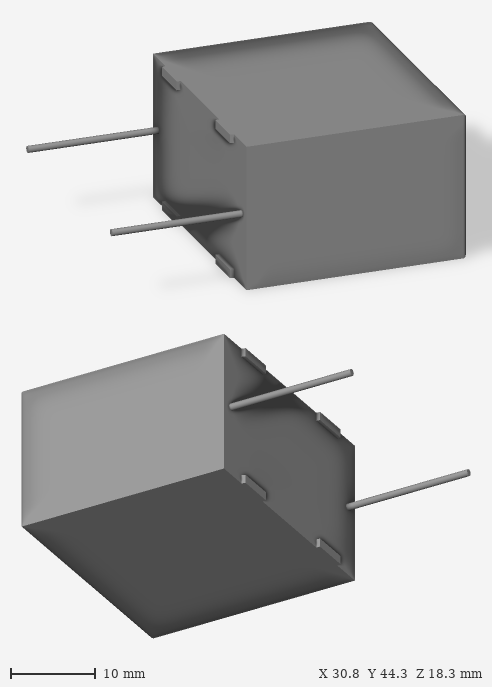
import cadquery as cq

WIDTH = 30.8
HEIGHT = 18.3
TOTAL_LENGTH = 44.3
LEAD_LENGTH = 16.5

CASE_LENGTH = TOTAL_LENGTH - LEAD_LENGTH
BACK_EDGE_RADIUS = 0.5

FOOT_INNER_X = 6.35
FOOT_OUTER_X = 11.3
FOOT_TAPER = 0.15
FOOT_HEIGHT = 1.1
FOOT_LENGTH = 0.5

LEAD_DIAMETER = 0.85
LEAD_SPACING = 27.5

SIDES = (-1, 1)


def make_foot(x_side, z_side):
    """Standoff flush with the long edge of the front face; its outer side is tapered."""
    z_bottom = HEIGHT / 2 - FOOT_HEIGHT if z_side > 0 else -HEIGHT / 2
    return (
        cq.Workplane("XY", origin=(0, 0, z_bottom))
        .moveTo(x_side * FOOT_INNER_X, 0)
        .lineTo(x_side * FOOT_OUTER_X, 0)
        .lineTo(x_side * (FOOT_OUTER_X - FOOT_TAPER), -FOOT_LENGTH)
        .lineTo(x_side * FOOT_INNER_X, -FOOT_LENGTH)
        .close()
        .extrude(FOOT_HEIGHT)
    )


def make_case():
    """Block with its front face at Y = 0, rounded back edges and four standoff feet."""
    case = (
        cq.Workplane("XY")
        .box(WIDTH, CASE_LENGTH, HEIGHT, centered=(True, False, True))
        .faces(">Y")
        .edges()
        .fillet(BACK_EDGE_RADIUS)
    )
    for x_side in SIDES:
        for z_side in SIDES:
            case = case.union(make_foot(x_side, z_side))
    return case


def make_lead(x_side):
    """Round wire that starts on the front face of the case and runs towards -Y."""
    return (
        cq.Workplane("XZ", origin=(x_side * LEAD_SPACING / 2, 0, 0))
        .circle(LEAD_DIAMETER / 2)
        .extrude(LEAD_LENGTH)
    )


case = make_case()
leads = [make_lead(x_side) for x_side in SIDES]

result = cq.Compound.makeCompound([case.val(), *[lead.val() for lead in leads]])